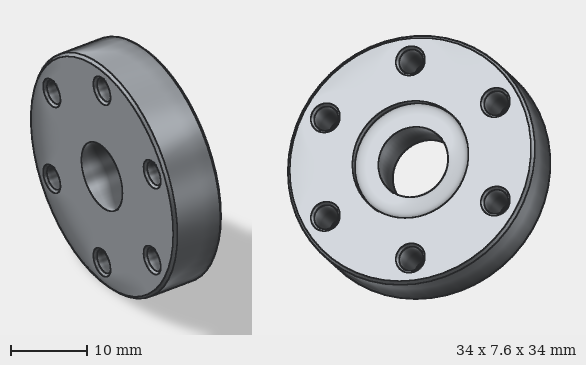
import cadquery as cq

disc_diameter = 34.0
thickness = 7.6
edge_chamfer = 0.4
bore_diameter = 9.6

recess_diameter = 15.98
recess_depth = 1.2

hole_count = 6
hole_circle_diameter = 27.0
hole_diameter = 3.3
hole_mouth_diameter = 4.0
hole_chamfer = (hole_mouth_diameter - hole_diameter) / 2
first_hole_angle = 30.0


def make_cylinder(diameter, length):
    """Cylinder along Y whose far end lies on the back face of the disc."""
    profile = cq.Workplane("XZ", origin=(0, thickness / 2, 0)).circle(diameter / 2)
    return profile.extrude(length)


def make_hole_cutter():
    """Revolved cutter along Y for one through hole with 45 degree chamfers."""
    half_length = thickness / 2
    chamfer_start = half_length - hole_chamfer
    hole_radius = hole_diameter / 2
    mouth_radius = hole_mouth_diameter / 2
    profile = [
        (0, -half_length),
        (mouth_radius, -half_length),
        (hole_radius, -chamfer_start),
        (hole_radius, chamfer_start),
        (mouth_radius, half_length),
        (0, half_length),
    ]
    return cq.Workplane("XY").polyline(profile).close().revolve(360, (0, 0), (0, 1))


disc = make_cylinder(disc_diameter, thickness).edges().chamfer(edge_chamfer)

bore = make_cylinder(bore_diameter, thickness)
recess = make_cylinder(recess_diameter, recess_depth)
result = disc.cut(bore).cut(recess)

hole_cutter = make_hole_cutter().translate((hole_circle_diameter / 2, 0, 0))
for index in range(hole_count):
    angle = first_hole_angle + index * 360 / hole_count
    result = result.cut(hole_cutter.rotate((0, 0, 0), (0, 1, 0), angle))